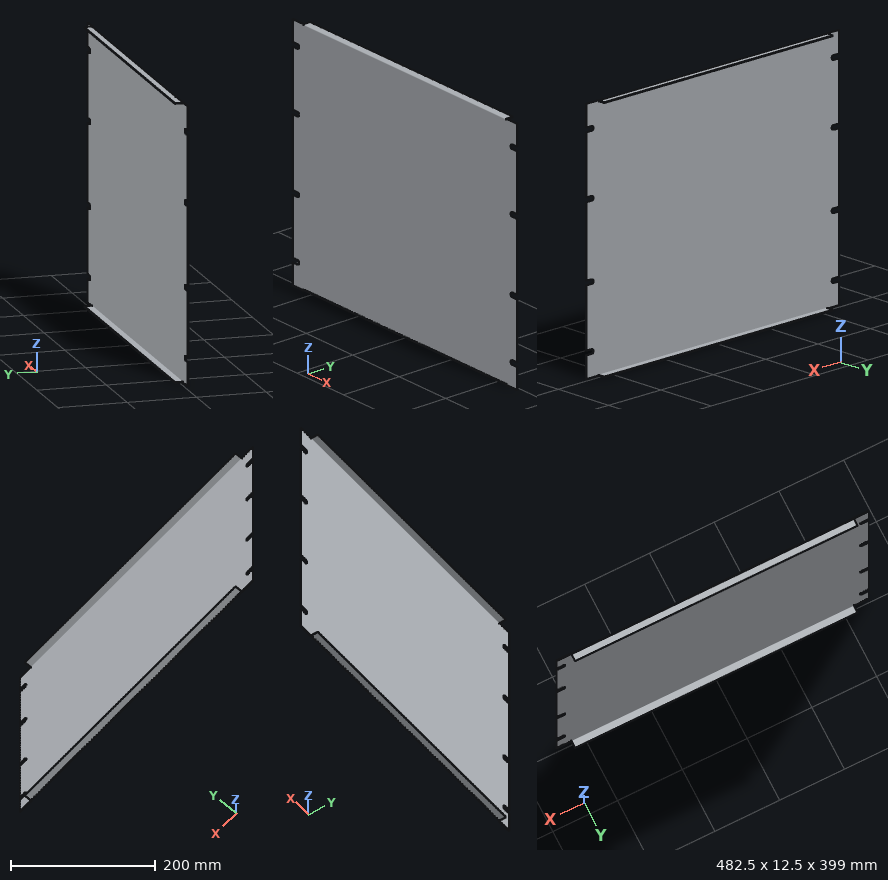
import cadquery as cq

panel_width = 482.5
panel_height = 399.0
sheet_thickness = 1.5

flange_depth = 12.5
flange_end_inset = 23.0
flange_length = panel_width - 2 * flange_end_inset
inner_bend_radius = 0.3
outer_bend_radius = inner_bend_radius + sheet_thickness

slot_width = 6.8
slot_depth = 13.5
slot_heights = (60.5, 161.5)


def make_end_strips():
    """Flat strips at the left and right, beyond the ends of the flanges."""
    sheet = cq.Workplane("XY").box(
        panel_width, sheet_thickness, panel_height, centered=(True, False, True)
    )
    middle = cq.Workplane("XY").box(
        flange_length, sheet_thickness, panel_height, centered=(True, False, True)
    )
    return sheet.cut(middle)


def make_channel():
    """Middle of the panel with both flanges and rounded bends."""
    outer = (
        cq.Workplane("XY")
        .box(flange_length, flange_depth, panel_height, centered=(True, False, True))
        .edges("|X and <Y")
        .fillet(outer_bend_radius)
    )
    inner = (
        cq.Workplane("XY")
        .box(
            flange_length,
            flange_depth,
            panel_height - 2 * sheet_thickness,
            centered=(True, False, True),
        )
        .edges("|X and <Y")
        .fillet(inner_bend_radius)
        .translate((0, sheet_thickness, 0))
    )
    return outer.cut(inner)


def make_slots():
    """Round-ended cutters straddling the side edges."""
    centers = [
        (side * panel_width / 2, level * height)
        for side in (-1, 1)
        for level in (-1, 1)
        for height in slot_heights
    ]
    return (
        cq.Workplane("XZ")
        .pushPoints(centers)
        .slot2D(2 * slot_depth, slot_width)
        .extrude(-sheet_thickness)
    )


result = make_channel().union(make_end_strips()).cut(make_slots())